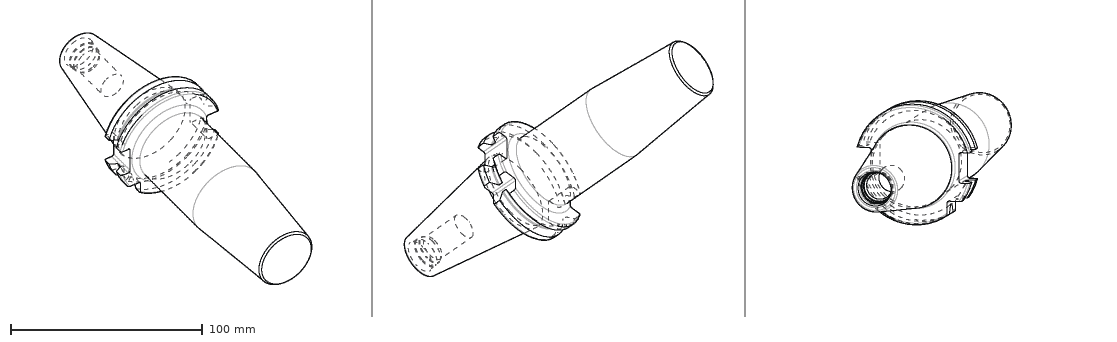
import cadquery as cq
import math


gauge_radius = 44.45 / 2
taper_length = 68.25
taper_slope = 7 / 24 / 2
taper_end_radius = gauge_radius - taper_length * taper_slope
taper_end_fillet = 1.0

relief_start = -0.4
relief_start_radius = gauge_radius + relief_start * taper_slope
relief_radius = 21.8
relief_cone_end = 0.8
relief_fillet = 1.2

flange_radius = 63.55 / 2
flange_front = 3.2
flange_back = 19.1
flange_edge_fillet = 1.0
groove_center = 11.1
groove_half_width = 3.5
groove_bottom_radius = 27.9
groove_wall_angle = 30
groove_fillet = 0.6

slot_half_width = 8.15
slot_far_floor = 22.8
slot_near_floor = 25.0
slot_corner_fillet = 1.2
notch_side = 18.5
notch_top = 18.0

body_radius = 21.0
body_fillet = 3.0
nose_length = 130.0
nose_end_radius = 16.5
nose_angle = 4.5
nose_cone_length = (body_radius - nose_end_radius) / math.tan(math.radians(nose_angle))
nose_end_chamfer = 1.0

cutter_start = flange_front - relief_fillet
cutter_end = flange_back + body_fillet

mouth_radius = 9.9
mouth_inner_radius = 9.0
mouth_depth = 0.2
pilot_radius = 8.5
pilot_start = 1.9
pilot_end = 4.1
relief_bore_radius = 8.1
relief_bore_start = pilot_end + (pilot_radius - relief_bore_radius)
relief_bore_end = 7.2
core_cone_radius = 7.8
core_cone_start = relief_bore_end + (relief_bore_radius - core_cone_radius)
core_radius = 7.0
core_start = 9.2
core_end = 32.0
drill_tip_half_angle = 59
drill_tip_end = core_end + core_radius / math.tan(math.radians(drill_tip_half_angle))


def revolve_about_axis(wire):
    return wire.close().revolve(360, (0, 0, 0), (1, 0, 0))


def make_shank():
    """Shank, relief and the fillet running up to the flange."""
    shank = revolve_about_axis(
        cq.Workplane("XY")
        .moveTo(-taper_length, 0)
        .lineTo(-taper_length, taper_end_radius)
        .lineTo(relief_start, relief_start_radius)
        .lineTo(relief_cone_end, relief_radius)
        .lineTo(flange_front - relief_fillet, relief_radius)
        .radiusArc((flange_front, relief_radius + relief_fillet), -relief_fillet)
        .lineTo(flange_front, 0)
    )
    return shank.faces("<X").edges().fillet(taper_end_fillet)


def make_groove():
    depth = flange_radius - groove_bottom_radius
    bottom_half_width = groove_half_width - depth * math.tan(math.radians(groove_wall_angle))
    groove = revolve_about_axis(
        cq.Workplane("XY")
        .moveTo(groove_center - groove_half_width, flange_radius)
        .lineTo(groove_center - bottom_half_width, groove_bottom_radius)
        .lineTo(groove_center + bottom_half_width, groove_bottom_radius)
        .lineTo(groove_center + groove_half_width, flange_radius)
    )
    bottom_edges = cq.selectors.RadiusNthSelector(0)
    return groove.edges("%CIRCLE").edges(bottom_edges).fillet(groove_fillet)


def make_flange():
    flange = (
        cq.Workplane("YZ", origin=(flange_front, 0, 0))
        .circle(flange_radius)
        .extrude(flange_back - flange_front)
        .edges()
        .fillet(flange_edge_fillet)
    )
    return flange.cut(make_groove())


def make_cutter(y_min, y_max, z_min, z_max):
    """Block through the flange and the fillets beside it, with the corners along X rounded."""
    length = cutter_end - cutter_start
    block = cq.Workplane("XY").box(length, y_max - y_min, z_max - z_min, centered=False)
    return block.edges("|X").fillet(slot_corner_fillet).translate((cutter_start, y_min, z_min))


def cut_slots_and_notch(body):
    outside = 2 * flange_radius
    far_slot = make_cutter(slot_far_floor, outside, -slot_half_width, slot_half_width)
    near_slot = make_cutter(-outside, -slot_near_floor, -slot_half_width, slot_half_width)
    notch = make_cutter(-outside, -notch_side, -outside, -notch_top)
    return body.cut(far_slot).cut(near_slot).cut(notch)


def make_nose():
    return revolve_about_axis(
        cq.Workplane("XY")
        .moveTo(flange_back, 0)
        .lineTo(flange_back, body_radius + body_fillet)
        .radiusArc((flange_back + body_fillet, body_radius), -body_fillet)
        .lineTo(nose_length - nose_cone_length, body_radius)
        .lineTo(nose_length - nose_end_chamfer,
                nose_end_radius + nose_end_chamfer * math.tan(math.radians(nose_angle)))
        .lineTo(nose_length, nose_end_radius - nose_end_chamfer)
        .lineTo(nose_length, 0)
    )


def make_socket():
    """Stepped blind hole: dished mouth, pilot bore, relief bore and drilled thread core."""
    socket = revolve_about_axis(
        cq.Workplane("XY")
        .moveTo(0, 0)
        .lineTo(0, mouth_radius)
        .lineTo(mouth_depth, mouth_inner_radius)
        .lineTo(pilot_start, pilot_radius)
        .lineTo(pilot_end, pilot_radius)
        .lineTo(relief_bore_start, relief_bore_radius)
        .lineTo(relief_bore_end, relief_bore_radius)
        .lineTo(core_cone_start, core_cone_radius)
        .lineTo(core_start, core_radius)
        .lineTo(core_end, core_radius)
        .lineTo(drill_tip_end, 0)
    )
    return socket.translate((-taper_length, 0, 0))


body = make_shank().union(make_flange()).union(make_nose())
result = cut_slots_and_notch(body).cut(make_socket())